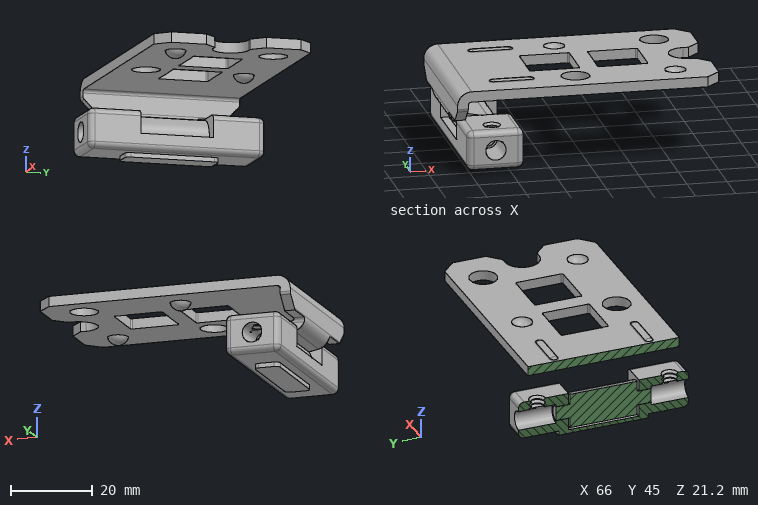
import cadquery as cq
import math


plate_length = 66.0
plate_width = 40.0
sheet = 2.65
inner_bend = 0.85
outer_bend = inner_bend + sheet
wall_bottom_z = -7.9
tip_chamfer = 3.5

flange_corner_z = -4.75
flange_chamfer = 3.5
shoulder_z = flange_corner_z - flange_chamfer
neck_width = 17.8
sheet_fillet = 1.0

notch_radius = 4.5
notch_depth = 9.05
notch_chamfer = 3.2

window_size = 12.5
window_corner = 0.4
window_centers_x = (27.2, 44.2)

feature_x = (31.0, 56.0)
feature_y = 12.5
hole_diameter = 7.0
dimple_radius = 2.6
dimple_depth = 1.9
dimple_sphere = (dimple_radius**2 + dimple_depth**2) / (2 * dimple_depth)

ridge_start_x = 10.55
ridge_end_x = 19.6
ridge_y = 12.55
ridge_height = 0.45
ridge_foot = 1.25
ridge_shoulder = 1.0
ridge_shoulder_height = 0.1

block_x = 2.0
block_length = 14.1
block_width = 45.0
block_height = 10.0
block_top_z = -9.6
block_bottom_z = block_top_z - block_height
block_fillet = 1.5

pin_x = block_x + block_length / 2
pin_z = block_top_z - block_height / 2
pin_radius = 2.0
knuckle_radius = pin_radius + sheet
pocket_radius = block_height / 2
bore_radius = 2.5
bore_depth = 9.9
pin_length = block_width - 2 * bore_depth

slot_width = 18.5
slot_floor_z = -15.45
thread_major_radius = 2.1
thread_minor_radius = 1.5
thread_pitch = 1.2
thread_turns = 3
screw_inset = 5.0
screw_y = block_width / 2 - screw_inset

pad_length = 6.4
pad_width = 23.75
pad_height = 1.1
pad_corner = 1.2


def cross_cylinder(radius, length):
    """Cylinder on the hinge axis, centred about Y = 0."""
    return (
        cq.Workplane("XZ", origin=(pin_x, 0, pin_z))
        .circle(radius)
        .extrude(length / 2, both=True)
    )


def tongue_slope():
    """Downward angle at which the tongue leaves the lower bend to lie tangent to the knuckle."""
    run = pin_x - outer_bend
    rise = wall_bottom_z - pin_z
    reach = math.acos((knuckle_radius + inner_bend) / math.hypot(run, rise))
    return reach - math.atan2(run, rise)


def sheet_strip():
    """Sheet section with both bends, extruded over the full plate width."""
    slope = tongue_slope()
    normal_x = math.sin(slope)
    normal_z = math.cos(slope)

    def on_lower_bend(radius, turn):
        return (outer_bend - radius * math.cos(turn), wall_bottom_z - radius * math.sin(turn))

    full_turn = math.pi / 2 - slope
    tangent_point = (pin_x + knuckle_radius * normal_x, pin_z + knuckle_radius * normal_z)
    tongue_end = (pin_x + pin_radius * normal_x, pin_z + pin_radius * normal_z)
    upper_z = -outer_bend
    diagonal = math.sqrt(0.5)

    def on_upper_bend(radius):
        return (outer_bend - radius * diagonal, upper_z + radius * diagonal)

    return (
        cq.Workplane("XZ")
        .moveTo(plate_length, 0)
        .lineTo(outer_bend, 0)
        .threePointArc(on_upper_bend(outer_bend), (0, upper_z))
        .lineTo(0, wall_bottom_z)
        .threePointArc(on_lower_bend(outer_bend, full_turn / 2), on_lower_bend(outer_bend, full_turn))
        .lineTo(*tongue_end)
        .lineTo(*tangent_point)
        .lineTo(*on_lower_bend(inner_bend, full_turn))
        .threePointArc(on_lower_bend(inner_bend, full_turn / 2), (sheet, wall_bottom_z))
        .lineTo(sheet, upper_z)
        .threePointArc(on_upper_bend(inner_bend), (outer_bend, -sheet))
        .lineTo(plate_length, -sheet)
        .close()
        .extrude(plate_width / 2, both=True)
    )


def wall_outline():
    """Prism along X that narrows from the plate width, past the flange chamfers, to the neck."""
    half_plate = plate_width / 2
    half_neck = neck_width / 2
    half_outline = [
        (half_plate, 0),
        (half_plate, flange_corner_z),
        (half_plate - flange_chamfer, shoulder_z),
        (half_neck, shoulder_z),
        (half_neck, block_bottom_z),
    ]
    mirrored = [(-y, z) for y, z in reversed(half_outline)]
    prism = cq.Workplane("YZ").polyline(half_outline + mirrored).close().extrude(plate_length)
    for side in (-1, 1):
        for corner in ((half_plate, flange_corner_z), (half_neck, shoulder_z)):
            corner_point = (plate_length / 2, side * corner[0], corner[1])
            prism = prism.edges(cq.selectors.NearestToPointSelector(corner_point)).fillet(sheet_fillet)
    return prism


def end_notch():
    """Round-bottomed notch in the plate tip with a flared mouth."""
    arc_x = plate_length - notch_depth + notch_radius
    mouth = notch_radius + notch_chamfer
    return (
        cq.Workplane("XY")
        .moveTo(arc_x, notch_radius)
        .threePointArc((arc_x - notch_radius, 0), (arc_x, -notch_radius))
        .lineTo(plate_length - notch_chamfer, -notch_radius)
        .lineTo(plate_length, -mouth)
        .lineTo(plate_length, mouth)
        .lineTo(plate_length - notch_chamfer, notch_radius)
        .close()
        .extrude(-sheet)
    )


def plate_windows():
    return (
        cq.Workplane("XY")
        .pushPoints([(x, 0) for x in window_centers_x])
        .rect(window_size, window_size)
        .extrude(-sheet)
        .edges("|Z")
        .fillet(window_corner)
    )


def plate_holes():
    near_x, far_x = feature_x
    return (
        cq.Workplane("XY")
        .pushPoints([(near_x, -feature_y), (far_x, feature_y)])
        .circle(hole_diameter / 2)
        .extrude(-sheet)
    )


def dimple_cap(x, y, face_z):
    """Spherical cap that hangs below the plane Z = face_z."""
    ball_z = face_z - dimple_depth + dimple_sphere
    ball = cq.Workplane("XY", origin=(x, y, ball_z)).sphere(dimple_sphere)
    below = cq.Workplane("XY", origin=(x, y, face_z)).circle(2 * dimple_radius).extrude(-2 * dimple_depth)
    return ball.intersect(below)


def ridge(y):
    """Low embossed rib with a domed section, a flared foot and round ends."""
    dome_rise = ridge_height - ridge_shoulder_height
    dome_radius = (ridge_shoulder**2 + dome_rise**2) / (2 * dome_rise)
    dome_mid_y = ridge_shoulder / 2
    dome_mid_z = ridge_height - dome_radius + math.sqrt(dome_radius**2 - dome_mid_y**2)
    diagonal = math.sqrt(0.5)
    foot_mid = (
        ridge_foot - (ridge_foot - ridge_shoulder) * diagonal,
        ridge_shoulder_height * (1 - diagonal),
    )

    def half_section(x):
        return (
            cq.Workplane("YZ", origin=(x, y, 0))
            .moveTo(0, -sheet / 2)
            .lineTo(ridge_foot, -sheet / 2)
            .lineTo(ridge_foot, 0)
            .threePointArc(foot_mid, (ridge_shoulder, ridge_shoulder_height))
            .threePointArc((dome_mid_y, dome_mid_z), (0, ridge_height))
            .close()
        )

    half = half_section(ridge_start_x).extrude(ridge_end_x - ridge_start_x)
    body = half.union(half.mirror("XZ", (0, y, 0)))
    for x in (ridge_start_x, ridge_end_x):
        body = body.union(half_section(x).revolve(360, (0, 0, 0), (0, 1, 0)))
    return body


def make_bracket():
    bracket = sheet_strip().intersect(wall_outline())
    bracket = bracket.edges("|Z and >X").chamfer(tip_chamfer)
    bracket = bracket.cut(end_notch()).cut(plate_windows()).cut(plate_holes())

    near_x, far_x = feature_x
    for x, y in ((near_x, feature_y), (far_x, -feature_y)):
        bracket = bracket.union(dimple_cap(x, y, -sheet))
        bracket = bracket.cut(dimple_cap(x, y, 0))
    for side in (-1, 1):
        bracket = bracket.union(ridge(side * ridge_y))

    bracket = bracket.union(cross_cylinder(knuckle_radius, neck_width))
    return bracket.union(cross_cylinder(pin_radius, pin_length))


def screw_hole(y):
    """Screw hole from the top face into the bore, with ring-shaped V threads."""
    outline = [(0, 0), (thread_major_radius, 0)]
    for turn in range(thread_turns):
        outline.append((thread_minor_radius, -(turn + 0.5) * thread_pitch))
        outline.append((thread_major_radius, -(turn + 1) * thread_pitch))
    outline.append((0, -thread_turns * thread_pitch))
    return (
        cq.Workplane("XZ", origin=(pin_x, y, block_top_z))
        .polyline(outline)
        .close()
        .revolve(360, (0, 0, 0), (0, 1, 0))
    )


def make_hinge_block():
    block_middle_z = (block_top_z + block_bottom_z) / 2
    block = (
        cq.Workplane("XY", origin=(pin_x, 0, block_middle_z))
        .box(block_length, block_width, block_height)
        .edges()
        .fillet(block_fillet)
    )
    pad = (
        cq.Workplane("XY", origin=(pin_x, 0, pin_z))
        .rect(pad_length, pad_width)
        .extrude(block_bottom_z - pad_height - pin_z)
        .edges("|Z")
        .fillet(pad_corner)
    )
    block = block.union(pad)

    slot = cq.Workplane("XY", origin=(pin_x, 0, slot_floor_z)).rect(block_length, slot_width)
    block = block.cut(slot.extrude(block_top_z - slot_floor_z))
    block = block.cut(cross_cylinder(pocket_radius, slot_width))

    block = block.cut(cross_cylinder(pin_radius, block_width))
    for side in (-1, 1):
        bore = cq.Workplane("XZ", origin=(pin_x, side * block_width / 2, pin_z)).circle(bore_radius)
        block = block.cut(bore.extrude(side * bore_depth))

    for side in (-1, 1):
        block = block.cut(screw_hole(side * screw_y))
    return block


bracket = make_bracket()
hinge_block = make_hinge_block()
result = cq.Compound.makeCompound([bracket.val(), hinge_block.val()])